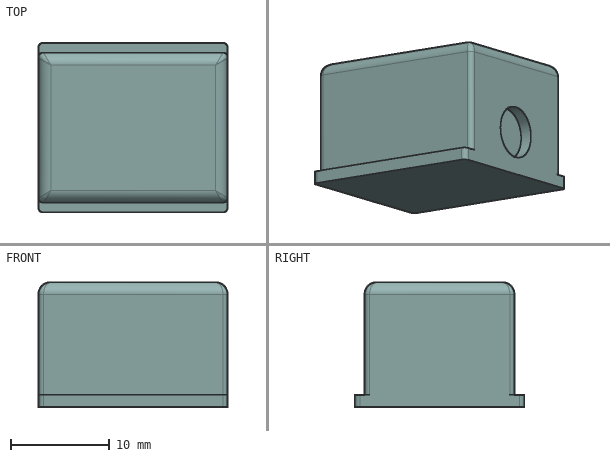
import cadquery as cq

length = 19.3
flange_width = 17.3
body_width = 15.3
total_height = 12.75

flange_thickness = 1.25
corner_radius = 0.5
top_radius = 1.25

recess_diameter = 5.25
recess_depth = 1.25
recess_center_height = 4.375


def block(width, height):
    """Block standing on Z = 0, centred in X and Y."""
    return cq.Workplane("XY").box(length, width, height, centered=(True, True, False))


def make_flange():
    return block(flange_width, flange_thickness).edges("|Z").fillet(corner_radius)


def make_body():
    """Tall body: the top perimeter is rounded first, so the corner rounding runs on up its mitres."""
    body = block(body_width, total_height).faces(">Z").edges().fillet(top_radius)
    return body.edges("|Z").fillet(corner_radius)


def make_recess():
    """Cylinder reaching inward from the -X end wall."""
    return (
        cq.Workplane("YZ", origin=(-length / 2, 0, recess_center_height))
        .circle(recess_diameter / 2)
        .extrude(recess_depth)
    )


result = make_body().union(make_flange()).cut(make_recess())